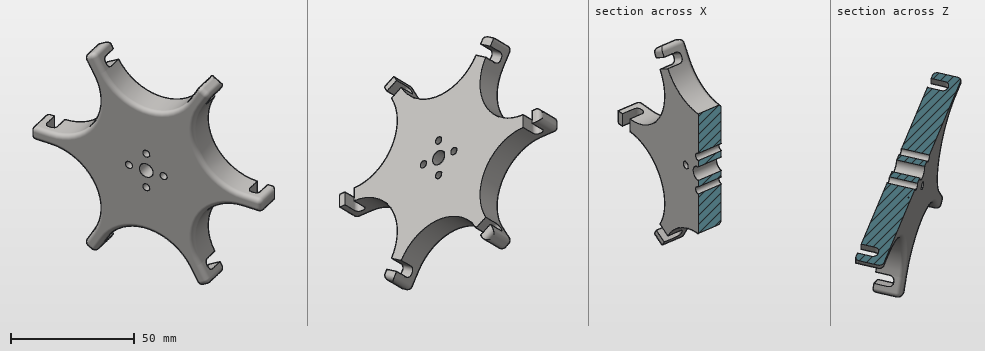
import cadquery as cq
import math

arm_count = 6
arm_pitch = 360 / arm_count
tip_radius = 53.9
thickness = 12.0
arm_width = 6.0
straight_length = 9.0
edge_round = arm_width / 3

slot_width = 4.9
slot_depth = 8.0
slot_corner_radius = edge_round

bore_diameter = 6.4
bolt_hole_diameter = 3.2
bolt_hole_count = 4
bolt_circle_radius = 8.1

half_width = arm_width / 2
arc_end_radius = tip_radius - straight_length
half_pitch = math.radians(arm_pitch / 2)
valley_center_radius = arc_end_radius / math.cos(half_pitch)
valley_radius = valley_center_radius * math.sin(half_pitch) - half_width
valley_bottom_radius = valley_center_radius - valley_radius


def on_arm(along, across, angle):
    """Plan point given along and across an arm that stands at an angle in degrees."""
    turn = math.radians(angle)
    x = along * math.cos(turn) - across * math.sin(turn)
    z = along * math.sin(turn) + across * math.cos(turn)
    return (x, z)


def cut_every_arm(plate, tool):
    """Cut a tool made for the +X arm out of every arm."""
    for i in range(arm_count):
        plate = plate.cut(tool.rotate((0, 0, 0), (0, 1, 0), i * arm_pitch))
    return plate


def is_tip_corner(edge):
    """True for the corner edges at the outer end of an arm."""
    center = edge.Center()
    return math.hypot(center.x, center.z) > tip_radius


def star_plate():
    """Star-shaped plate with rounded arm corners and a rounded front rim."""
    outline = cq.Workplane("XZ").moveTo(*on_arm(arc_end_radius, -half_width, 0))
    for i in range(arm_count):
        angle = i * arm_pitch
        next_angle = angle + arm_pitch
        outline = (
            outline.lineTo(*on_arm(tip_radius, -half_width, angle))
            .lineTo(*on_arm(tip_radius, half_width, angle))
            .lineTo(*on_arm(arc_end_radius, half_width, angle))
            .threePointArc(
                on_arm(valley_bottom_radius, 0, angle + arm_pitch / 2),
                on_arm(arc_end_radius, -half_width, next_angle),
            )
        )
    plate = outline.close().extrude(-thickness)
    tip_corners = plate.edges("|Y").filter(is_tip_corner)
    return tip_corners.fillet(edge_round).faces("<Y").edges().fillet(edge_round)


def tip_back_waste():
    """Material outside the rounding of the back edge at the end of an arm."""
    round_start = tip_radius - edge_round
    round_middle = edge_round * math.sin(math.radians(45))
    return (
        cq.Workplane("XY")
        .moveTo(round_start, thickness)
        .threePointArc(
            (round_start + round_middle, thickness - edge_round + round_middle),
            (tip_radius, thickness - edge_round),
        )
        .lineTo(tip_radius, thickness)
        .close()
        .extrude(half_width, both=True)
    )


def arm_slot():
    """Slot with rounded floor corners that runs across an arm and opens at the back face."""
    floor_y = thickness - slot_depth
    return (
        cq.Workplane("XY")
        .moveTo(arc_end_radius, floor_y)
        .rect(slot_width, slot_depth, centered=False)
        .extrude(arm_width, both=True)
        .edges("|Z and <Y")
        .fillet(slot_corner_radius)
    )


def hub_holes():
    """Central bore with a ring of bolt holes, all through the plate."""
    bore = cq.Workplane("XZ").circle(bore_diameter / 2).extrude(-thickness)
    bolt_holes = (
        cq.Workplane("XZ")
        .polarArray(bolt_circle_radius, 0, 360, bolt_hole_count)
        .circle(bolt_hole_diameter / 2)
        .extrude(-thickness)
    )
    return bore.union(bolt_holes)


result = star_plate()
result = cut_every_arm(result, tip_back_waste())
result = cut_every_arm(result, arm_slot())
result = result.cut(hub_holes())